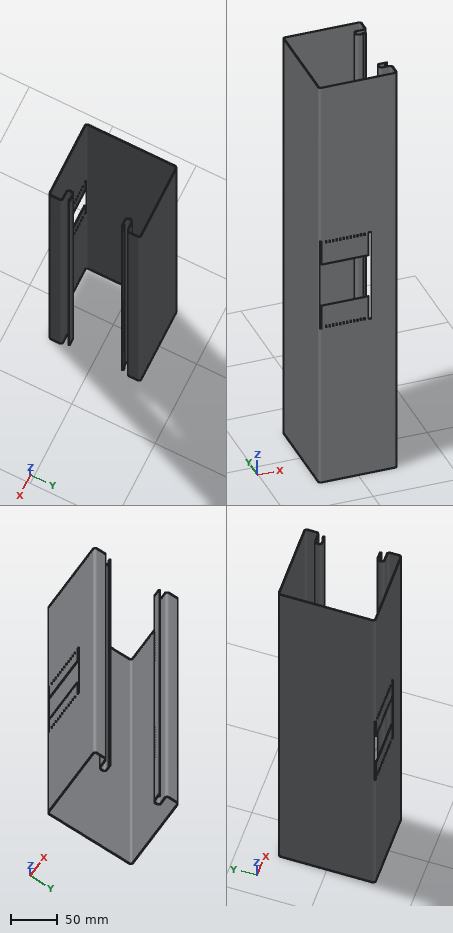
import cadquery as cq

width = 90.0
depth = 110.0
height = 500.0

sheet = 1.0
corner_radius = 3.2
hook_radius = 3.5

flange_depth = 16.4
hook_depth = 8.6
hook_length = 14.7
lip_end_gap = 3.0
hem_length = 3.0
hem_slit = 0.2

window_right = 60.2
window_height = 110.0
tab_left = corner_radius
tab_right = 57.2
tab_height = 29.0

slot_count = 12
slot_pitch = 4.0
slot_width = 1.0
slot_height = 2.0
first_slot_x = 8.5
slot_inset = 1.5

wall_y = -depth / 2
arm_y = wall_y + flange_depth
lip_y = arm_y - sheet + hook_depth
hook_x = width - hook_length
lip_end_x = width - lip_end_gap


def block(x0, y0, z0, x1, y1, z1):
    """Box between its lowest and highest corners."""
    return cq.Workplane("XY").box(x1 - x0, y1 - y0, z1 - z0, centered=False).translate((x0, y0, z0))


def strip(x0, y0, x1, y1):
    """Block over the full height of the channel."""
    return block(x0, y0, -height / 2, x1, y1, height / 2)


def make_shell():
    """Rounded rectangular tube opened along +X, leaving a flange at each side."""
    outer = strip(0, wall_y, width, -wall_y).edges("|Z").fillet(corner_radius)
    inner = strip(sheet, wall_y + sheet, width - sheet, -wall_y - sheet)
    inner = inner.edges("|Z").fillet(corner_radius - sheet)
    mouth = strip(width - corner_radius, arm_y, width, -arm_y)
    return outer.cut(inner).cut(mouth)


def make_hook():
    """U-shaped hook behind the -Y flange, its free lip ending in a flat hem."""
    hem_start_x = lip_end_x - hem_length
    outer = strip(hook_x, arm_y - sheet, width, lip_y).edges("|Z and <X").fillet(hook_radius)
    inner = strip(hook_x + sheet, arm_y, width, lip_y - sheet)
    inner = inner.edges("|Z and <X").fillet(hook_radius - sheet)
    lip_trim = strip(hem_start_x, arm_y, width, lip_y)

    hem_thickness = 2 * sheet + hem_slit
    hem = strip(hem_start_x, lip_y - hem_thickness, lip_end_x, lip_y)
    hem = hem.edges("|Z and >X").fillet(sheet)
    slit = strip(hem_start_x, lip_y - sheet - hem_slit, lip_end_x - sheet, lip_y - sheet)
    return outer.cut(inner).cut(lip_trim).union(hem.cut(slit))


def wall_slot(centres, length, breadth):
    """Cutters for vertical round-ended slots through the -Y wall, at the (x, z) centres."""
    plane = cq.Workplane("XZ", origin=(0, wall_y, 0))
    return plane.pushPoints(centres).slot2D(length, breadth, 90).extrude(-sheet)


def make_opening():
    """Cutter for the opening, from the middle of the corner bend to the right edge of the tabs."""
    top = window_height / 2
    plan = [
        (0, wall_y),
        (tab_right, wall_y),
        (tab_right, wall_y + sheet),
        (corner_radius, wall_y + corner_radius),
    ]
    opening = cq.Workplane("XY", origin=(0, 0, -top)).polyline(plan).close().extrude(window_height)
    upper_tab = block(tab_left, wall_y, top - tab_height, tab_right, wall_y + sheet, top)
    return opening.cut(upper_tab).cut(upper_tab.mirror("XY"))


def make_relief():
    """Cutter for the tall round-ended slot along the right side of the window."""
    gap = window_right - tab_right
    return wall_slot([((tab_right + window_right) / 2, 0)], window_height, gap)


def make_perforations():
    """Cutters for the slot rows along the upper and lower edges of the window."""
    row_z = window_height / 2 - slot_inset
    columns = [first_slot_x + i * slot_pitch for i in range(slot_count)]
    centres = [(x, z) for z in (-row_z, row_z) for x in columns]
    return wall_slot(centres, slot_height, slot_width)


def bend_flange_corners(body):
    """Round the bends where each flange turns into its hook."""
    for side in (1, -1):
        outside = cq.NearestToPointSelector((width, side * arm_y, 0))
        body = body.edges(outside).fillet(corner_radius)
        inside = cq.NearestToPointSelector((width - sheet, side * (arm_y - sheet), 0))
        body = body.edges(inside).fillet(corner_radius - sheet)
    return body


hook = make_hook()
channel = bend_flange_corners(make_shell().union(hook).union(hook.mirror("XZ")).clean())
result = channel.cut(make_opening()).cut(make_relief()).cut(make_perforations())